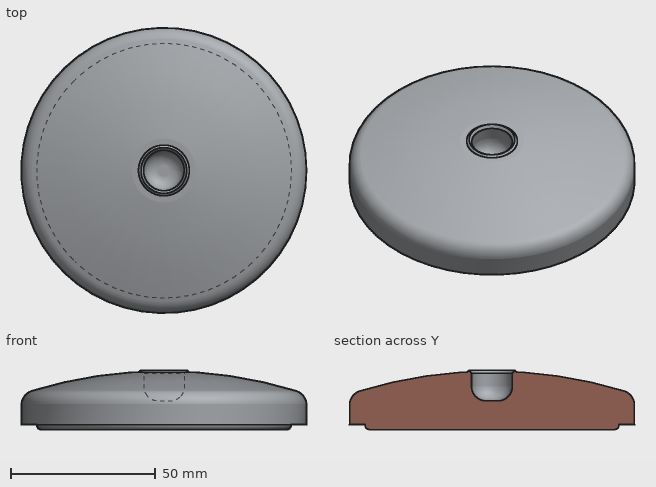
import cadquery as cq
import math

body_radius = 49.5
body_bottom = 1.8
wall_top = 9.0
shoulder_radius = 45.7
shoulder_height = 13.6
shoulder_bulge = 0.9

flat_radius = 11.1
flat_height = 20.0

lip_outer_radius = 8.8
lip_crest_radius = 7.9
lip_height = 20.7

socket_radius = 7.0
socket_rim_height = 19.6
socket_wall_bottom = 15.0
floor_fillet = 4.95
floor_radius = socket_radius - floor_fillet
floor_height = socket_wall_bottom - floor_fillet

foot_radius = 44.2
foot_fillet = 1.7


def dome_midpoint():
    """Point halfway across the dome, on the sphere centred on the axis."""
    center = (
        (flat_radius**2 + flat_height**2 - shoulder_radius**2 - shoulder_height**2)
        / (2 * (flat_height - shoulder_height))
    )
    sphere_radius = math.hypot(flat_radius, flat_height - center)
    radius = (flat_radius + shoulder_radius) / 2
    return radius, center + math.sqrt(sphere_radius**2 - radius**2)


def shoulder_midpoint():
    """Middle of the shoulder arc, pushed outward from the middle of its chord."""
    run = body_radius - shoulder_radius
    rise = shoulder_height - wall_top
    chord = math.hypot(run, rise)
    return (
        (body_radius + shoulder_radius) / 2 + shoulder_bulge * rise / chord,
        (wall_top + shoulder_height) / 2 + shoulder_bulge * run / chord,
    )


def quarter_midpoint(center_radius, center_height, fillet):
    """Middle of a quarter round that faces outward and down."""
    offset = fillet * math.sqrt(0.5)
    return center_radius + offset, center_height - offset


profile = (
    cq.Workplane("XZ")
    .lineTo(foot_radius - foot_fillet, 0)
    .threePointArc(
        quarter_midpoint(foot_radius - foot_fillet, foot_fillet, foot_fillet),
        (foot_radius, foot_fillet),
    )
    .lineTo(foot_radius, body_bottom)
    .lineTo(body_radius, body_bottom)
    .lineTo(body_radius, wall_top)
    .threePointArc(shoulder_midpoint(), (shoulder_radius, shoulder_height))
    .threePointArc(dome_midpoint(), (flat_radius, flat_height))
    .lineTo(lip_outer_radius, flat_height)
    .lineTo(lip_crest_radius, lip_height)
    .lineTo(socket_radius, socket_rim_height)
    .lineTo(socket_radius, socket_wall_bottom)
    .threePointArc(
        quarter_midpoint(floor_radius, socket_wall_bottom, floor_fillet),
        (floor_radius, floor_height),
    )
    .lineTo(0, floor_height)
    .close()
)
result = profile.revolve(360, (0, 0, 0), (0, 1, 0))